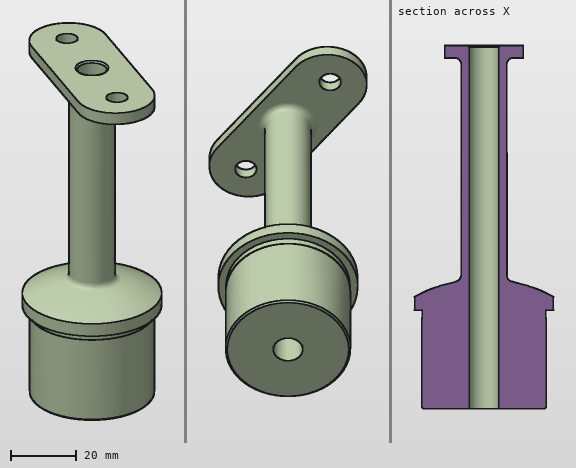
import cadquery as cq
import math

total_height = 110.5

plate_length = 64.0
plate_width = 24.0
plate_thickness = 3.9
screw_hole_diameter = 6.5
screw_hole_spacing = 42.9

stem_diameter = 14.0
stem_fillet = 2.0
bore_diameter = 9.0
bore_chamfer = 0.5

plug_radius = 19.0
plug_chamfer = 0.5
neck_start = 27.5
neck_relief = 0.1
neck_radius = plug_radius - neck_relief
collar_radius = 21.2
collar_bottom = 30.0
collar_top = 34.1
dome_radius = 44.2

plate_bottom = total_height - plate_thickness
stem_radius = stem_diameter / 2
dome_center = collar_top - math.sqrt(dome_radius**2 - collar_radius**2)


def dome_height(radius):
    """Height of the dome surface at a distance from the axis."""
    return dome_center + math.sqrt(dome_radius**2 - radius**2)


def turned_body():
    """Plug, collar, dome and stem revolved about Z."""
    middle_radius = (stem_radius + collar_radius) / 2
    stem_foot = dome_height(stem_radius)
    profile = (
        cq.Workplane("XZ")
        .lineTo(plug_radius - plug_chamfer, 0)
        .lineTo(plug_radius, plug_chamfer)
        .lineTo(plug_radius, neck_start)
        .lineTo(neck_radius, neck_start)
        .lineTo(neck_radius, collar_bottom)
        .lineTo(collar_radius, collar_bottom)
        .lineTo(collar_radius, collar_top)
        .threePointArc((middle_radius, dome_height(middle_radius)), (stem_radius, stem_foot))
        .lineTo(stem_radius, plate_bottom)
        .lineTo(0, plate_bottom)
        .close()
    )
    return profile.revolve(360, (0, 0, 0), (0, 1, 0))


def top_plate():
    """Flat plate with semicircular ends."""
    return (
        cq.Workplane("XY", origin=(0, 0, plate_bottom))
        .slot2D(plate_length, plate_width)
        .extrude(plate_thickness)
    )


def stem_end_edges(body):
    """Circular edges where the stem meets the dome and the plate."""
    slack = 0.1
    reach = stem_radius + slack
    foot = dome_height(stem_radius)
    selected = body.edges(
        cq.selectors.BoxSelector(
            (-reach, -reach, foot - slack), (reach, reach, plate_bottom + slack), boundingbox=True
        )
    )
    return selected.edges("%CIRCLE")


body = stem_end_edges(turned_body().union(top_plate())).fillet(stem_fillet)

body = body.faces(">Z").workplane(origin=(0, 0, total_height)).hole(bore_diameter)
mouth_radius = bore_diameter / 2 + bore_chamfer
mouth = cq.Solid.makeCone(
    bore_diameter / 2, mouth_radius, bore_chamfer, pnt=cq.Vector(0, 0, total_height - bore_chamfer)
)
body = body.cut(mouth)

half_spacing = screw_hole_spacing / 2
screw_holes = (
    cq.Workplane("XY", origin=(0, 0, plate_bottom))
    .pushPoints([(-half_spacing, 0), (half_spacing, 0)])
    .circle(screw_hole_diameter / 2)
    .extrude(plate_thickness)
)

result = body.cut(screw_holes)